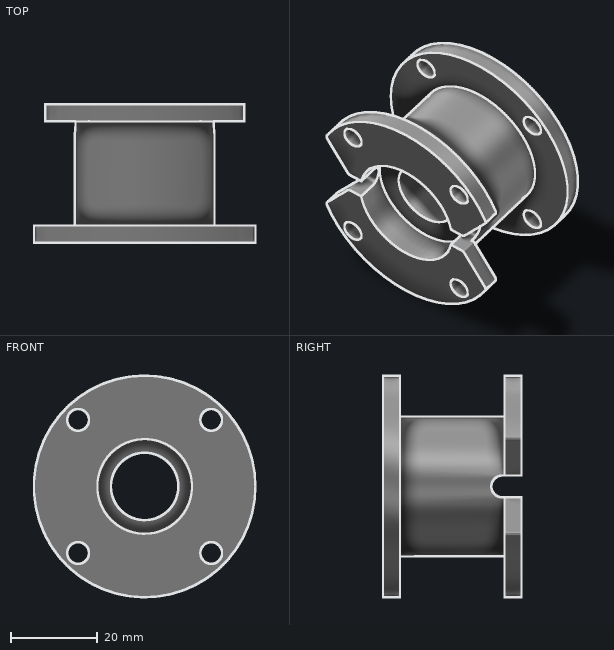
import cadquery as cq
import math

flange_dia = 51.55
length = 32.2
flange_thickness = 4.0
barrel_dia = 32.6

through_bore_dia = 15.6
front_bore_dia = 22.0
rear_bore_dia = 26.6
end_bore_depth = 7.5

bolt_hole_dia = 5.0
bolt_spacing = 30.95

slot_width = 5.0
slot_depth = 7.0
notch_apex_x = 14.75
notch_half_angle = 52.0
notch_corner_radius = 1.0

front_y = -length / 2
rear_y = length / 2


def cylinder_along_y(diameter, start_y, depth):
    """Cylinder on the spool axis running from start_y toward +Y."""
    return cq.Workplane("XZ", origin=(0, start_y, 0)).circle(diameter / 2).extrude(-depth)


def notch(side):
    """Wedge opening outward on one side (+1 or -1 along X) of the rear flange."""
    mouth_x = flange_dia
    mouth_half_height = (mouth_x - notch_apex_x) * math.tan(math.radians(notch_half_angle))
    return (
        cq.Workplane("XZ", origin=(0, rear_y - flange_thickness, 0))
        .moveTo(side * notch_apex_x, 0)
        .lineTo(side * mouth_x, mouth_half_height)
        .lineTo(side * mouth_x, -mouth_half_height)
        .close()
        .extrude(-flange_thickness)
    )


def cross_slot():
    """Slot along X, open at the rear face, with a half-round floor."""
    radius = slot_width / 2
    floor_y = rear_y - slot_depth
    return (
        cq.Workplane("YZ")
        .moveTo(rear_y, radius)
        .lineTo(floor_y + radius, radius)
        .threePointArc((floor_y, 0), (floor_y + radius, -radius))
        .lineTo(rear_y, -radius)
        .close()
        .extrude(flange_dia / 2, both=True)
    )


def rear_flange():
    """Flange split into two halves by the slot and notches, with rounded corners."""
    flange = cylinder_along_y(flange_dia, rear_y - flange_thickness, flange_thickness)
    flange = flange.cut(notch(1)).cut(notch(-1)).cut(cross_slot())
    return flange.edges("|Y").fillet(notch_corner_radius)


def bolt_holes():
    return (
        cq.Workplane("XZ", origin=(0, front_y, 0))
        .rect(bolt_spacing, bolt_spacing, forConstruction=True)
        .vertices()
        .circle(bolt_hole_dia / 2)
        .extrude(-length)
    )


barrel = cylinder_along_y(barrel_dia, front_y, length).cut(cross_slot())
front_flange = cylinder_along_y(flange_dia, front_y, flange_thickness)
spool = barrel.union(front_flange).union(rear_flange())

spool = spool.cut(cylinder_along_y(through_bore_dia, front_y, length))
spool = spool.cut(cylinder_along_y(front_bore_dia, front_y, end_bore_depth))
spool = spool.cut(cylinder_along_y(rear_bore_dia, rear_y - end_bore_depth, end_bore_depth))
result = spool.cut(bolt_holes())